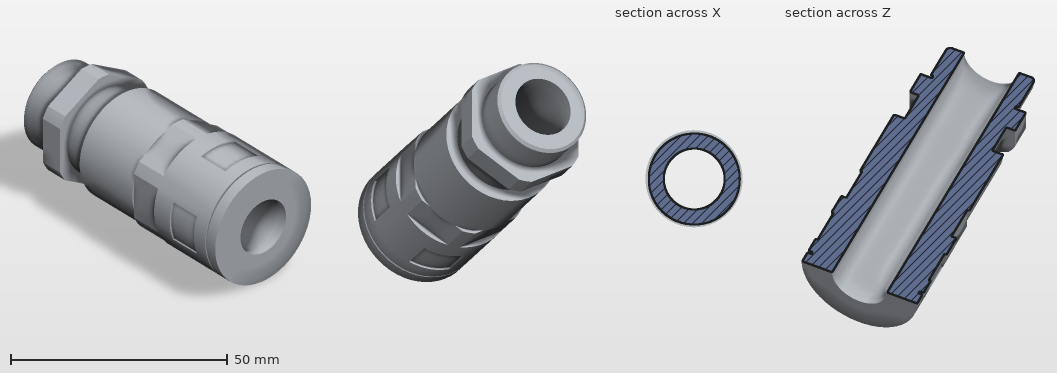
import cadquery as cq

thread_end = 9.4
nut_start = 10.0
nut_end = 16.0
sleeve_start = 23.5
hex_start = 42.0
hex_end = 50.5
window_start = 56.0
window_end = 64.5
groove_start = 68.5
groove_end = 69.0
total_length = 72.0

bore_diameter = 14.0
undercut_diameter = 21.2
thread_diameter = 22.5
sleeve_diameter = 28.02
groove_diameter = 27.5
outer_diameter = 29.5
window_floor_diameter = 28.5

thread_chamfer = 0.7
across_flats = 27.0
window_width = 10.2
window_count = 4


def cross_section(station):
    """Workplane facing +X at a station along the axis."""
    return cq.Workplane("YZ", origin=(station, 0, 0))


def cylinder(start, end, diameter):
    """Solid cylinder on the X axis between two stations."""
    return cross_section(start).circle(diameter / 2).extrude(end - start)


def rounded_hexagon(start, end):
    """Hexagonal section with flats facing +Y and -Y and corners turned to the outer diameter."""
    prism = (
        cross_section(start)
        .polygon(6, across_flats, circumscribed=True)
        .extrude(end - start)
    )
    return prism.intersect(cylinder(start, end, outer_diameter))


def threaded_shank():
    """Chamfered connection thread, its undercut and the neck behind the nut."""
    thread = cylinder(0, thread_end, thread_diameter).faces("<X").chamfer(thread_chamfer)
    undercut = cylinder(thread_end, nut_start, undercut_diameter)
    neck = cylinder(nut_end, sleeve_start, thread_diameter)
    return thread.union(undercut).union(neck)


def clamping_body():
    """Full-diameter rear body, split from its end collar by a narrow groove."""
    body = cylinder(hex_end, groove_start, outer_diameter)
    groove_floor = cylinder(groove_start, groove_end, groove_diameter)
    collar = cylinder(groove_end, total_length, outer_diameter)
    return body.union(groove_floor).union(collar)


def window_recesses():
    """Shallow windows with curved floors, spaced evenly around the rear body."""
    length = window_end - window_start
    block = cq.Workplane("XY").box(
        length, window_width, outer_diameter, centered=(False, True, False)
    )
    block = block.translate((window_start, 0, 0))
    blocks = block
    for index in range(1, window_count):
        angle = index * 360 / window_count
        blocks = blocks.union(block.rotate((0, 0, 0), (1, 0, 0), angle))
    return blocks.cut(cylinder(window_start, window_end, window_floor_diameter))


result = (
    threaded_shank()
    .union(rounded_hexagon(nut_start, nut_end))
    .union(cylinder(sleeve_start, hex_start, sleeve_diameter))
    .union(rounded_hexagon(hex_start, hex_end))
    .union(clamping_body())
    .cut(window_recesses())
    .cut(cylinder(0, total_length, bore_diameter))
)